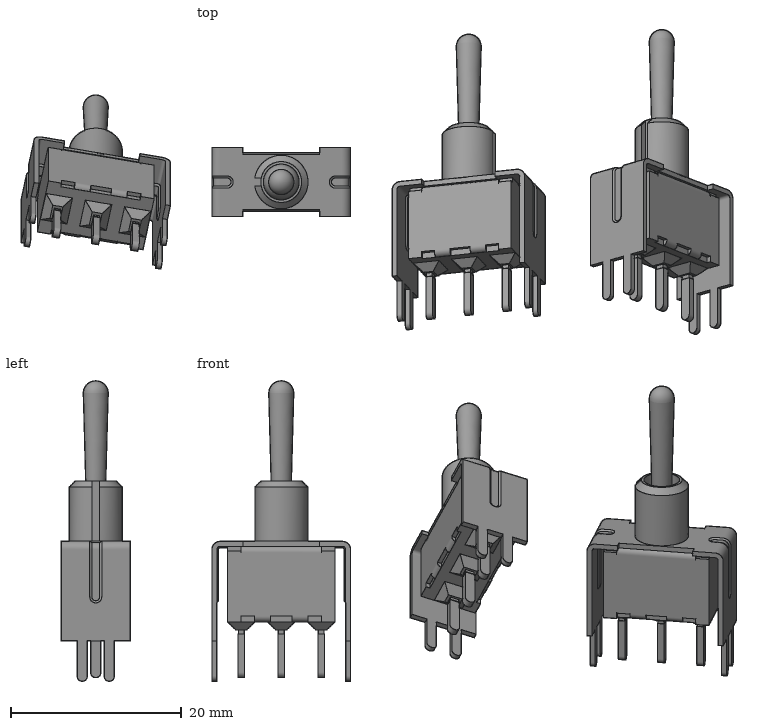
import cadquery as cq
import math

BRACKET_LENGTH = 16.25
BRACKET_WIDTH = 8.12
BRACKET_TOP = 16.4
SHEET = 0.6
BEND_RADIUS = 1.0
SIDE_PLATE_BOTTOM = 4.75
LEG_OFFSET = 1.6
PIN_WIDTH = 1.2
RELIEF_LENGTH = 8.97
RELIEF_HALF_GAP = 3.25

BEAD_WIDTH = 1.4
BEAD_FLOOR_WIDTH = 0.9
BEAD_DEPTH = 0.18
BEAD_BACK_WIDTH = 1.65
BEAD_TOP_REACH = 2.5
BEAD_BOTTOM = 9.18

HOUSING_LENGTH = 12.6
HOUSING_BOTTOM = 6.93
HOUSING_TOP = BRACKET_TOP - SHEET
COVER_WIDTH = 6.9
COVER_SHEET = 0.5
COVER_TOP = 15.25
TOP_TAB_LENGTH = 9.43
TOP_TAB_RADIUS = 0.75
NOTCH_HEIGHT = 0.7
BOTTOM_TAB_LENGTH = 1.9
BOTTOM_TAB_OFFSET = 2.18
BOTTOM_TAB_RADIUS = 0.65

TERMINAL_PITCH = 4.68
TERMINAL_THICKNESS = 0.8
TERMINAL_TIP = 0.42
NECK_THICKNESS = 0.7
NECK_WIDTH = 1.05
NECK_BOTTOM = 5.52
COLLAR_BOTTOM = 5.98
COLLAR_TOP_LENGTH = 3.15
COLLAR_BOTTOM_LENGTH = 1.2
COLLAR_TOP_WIDTH = 3.5
COLLAR_BOTTOM_WIDTH = 1.75

BUSHING_RADIUS = 3.13
BUSHING_TOP = 23.45
BUSHING_CHAMFER = 0.75
BORE_DIAMETER = 4.2
BORE_RADIUS = BORE_DIAMETER / 2
KEYWAY_WIDTH = 0.9
KEYWAY_FLOOR = 2.4
LEVER_TOP = 35.17
LEVER_TIP_RADIUS = 1.48
LEVER_RADIUS_AT_BUSHING = 1.2


def box(x_min, x_max, y_min, y_max, z_min, z_max):
    """Axis-aligned block given by its limits."""
    block = cq.Workplane("XY").box(x_max - x_min, y_max - y_min, z_max - z_min, centered=False)
    return block.translate((x_min, y_min, z_min))


def centered_box(length, width, z_min, z_max):
    """Block centred on the Z axis between two heights."""
    return box(-length / 2, length / 2, -width / 2, width / 2, z_min, z_max)


def round_tipped_pin(x_center, y_center, thickness, tip, top):
    """Flat pin, thin along X, whose lower end is a full half round."""
    radius = PIN_WIDTH / 2
    return (
        cq.Workplane("YZ")
        .moveTo(y_center - radius, top)
        .lineTo(y_center - radius, tip + radius)
        .threePointArc((y_center, tip), (y_center + radius, tip + radius))
        .lineTo(y_center + radius, top)
        .close()
        .extrude(thickness / 2, both=True)
        .translate((x_center, 0, 0))
    )


def mirrored_in_x(shape):
    return shape.union(shape.mirror("YZ"))


def bead_bar(outer_width, inner_width, depth, inset):
    """Trapezoid bead with conical ends, bent around the -X corner of the bracket.

    The wide face lies `inset` below the outer skin and the bead is `depth` deep.
    """
    half_outer = outer_width / 2
    half_inner = inner_width / 2
    skin_x = -BRACKET_LENGTH / 2 + inset
    skin_z = BRACKET_TOP - inset
    bend_x = -BRACKET_LENGTH / 2 + BEND_RADIUS
    bend_z = BRACKET_TOP - BEND_RADIUS
    top_end_x = -BRACKET_LENGTH / 2 + BEAD_TOP_REACH - half_outer
    side_end_z = BEAD_BOTTOM + half_outer

    section = [
        (-half_outer, skin_z),
        (half_outer, skin_z),
        (half_inner, skin_z - depth),
        (-half_inner, skin_z - depth),
    ]
    top_run = (
        cq.Workplane("YZ").polyline(section).close()
        .extrude(top_end_x - bend_x).translate((bend_x, 0, 0))
    )
    corner = (
        cq.Workplane("YZ").polyline(section).close()
        .revolve(90, (0, bend_z), (-1, bend_z))
        .translate((bend_x, 0, 0))
    )
    side_section = [(skin_x + skin_z - z, y) for y, z in section]
    side_run = (
        cq.Workplane("XY").workplane(offset=side_end_z).polyline(side_section).close()
        .extrude(bend_z - side_end_z)
    )
    top_center = cq.Vector(top_end_x, 0, skin_z)
    side_center = cq.Vector(skin_x, 0, side_end_z)
    top_end = cq.Solid.makeCone(half_outer, half_inner, depth, top_center, cq.Vector(0, 0, -1))
    side_end = cq.Solid.makeCone(half_outer, half_inner, depth, side_center, cq.Vector(1, 0, 0))
    return top_run.union(corner).union(side_run).union(cq.Workplane(top_end)).union(cq.Workplane(side_end))


def make_bracket():
    outer = centered_box(BRACKET_LENGTH, BRACKET_WIDTH, SIDE_PLATE_BOTTOM, BRACKET_TOP)
    outer = outer.edges("|Y and >Z").fillet(BEND_RADIUS)
    inner = centered_box(BRACKET_LENGTH - 2 * SHEET, BRACKET_WIDTH, SIDE_PLATE_BOTTOM, HOUSING_TOP)
    inner = inner.edges("|Y and >Z").fillet(BEND_RADIUS - SHEET)
    bracket = outer.cut(inner)

    for side in (-1, 1):
        y_limits = sorted((side * RELIEF_HALF_GAP, side * BRACKET_WIDTH / 2))
        relief = box(-RELIEF_LENGTH / 2, RELIEF_LENGTH / 2, *y_limits, HOUSING_TOP, BRACKET_TOP)
        bracket = bracket.cut(relief)

    leg_x = (BRACKET_LENGTH - SHEET) / 2
    for x in (-leg_x, leg_x):
        for y in (-LEG_OFFSET, LEG_OFFSET):
            bracket = bracket.union(round_tipped_pin(x, y, SHEET, 0, SIDE_PLATE_BOTTOM))

    back_inner_width = BEAD_BACK_WIDTH - BEAD_WIDTH + BEAD_FLOOR_WIDTH
    back = bead_bar(BEAD_BACK_WIDTH, back_inner_width, BEAD_DEPTH, SHEET)
    groove = bead_bar(BEAD_WIDTH, BEAD_FLOOR_WIDTH, BEAD_DEPTH, 0)
    return bracket.union(mirrored_in_x(back)).cut(mirrored_in_x(groove))


def make_housing():
    block_width = COVER_WIDTH - 2 * COVER_SHEET
    notch_top = HOUSING_BOTTOM + NOTCH_HEIGHT
    block = centered_box(HOUSING_LENGTH, block_width, HOUSING_BOTTOM, HOUSING_TOP)

    cover = centered_box(HOUSING_LENGTH, COVER_WIDTH, HOUSING_BOTTOM, COVER_TOP)
    cover = cover.cut(centered_box(TOP_TAB_LENGTH, COVER_WIDTH, HOUSING_BOTTOM, notch_top))
    cover = cover.cut(centered_box(TOP_TAB_LENGTH, COVER_WIDTH, HOUSING_TOP - TOP_TAB_RADIUS, COVER_TOP))
    block = block.cut(centered_box(TOP_TAB_LENGTH, block_width, HOUSING_TOP - TOP_TAB_RADIUS, HOUSING_TOP))
    top_tab = centered_box(TOP_TAB_LENGTH, COVER_WIDTH, notch_top, HOUSING_TOP)
    top_tab = top_tab.edges("|X and >Z").fillet(TOP_TAB_RADIUS)
    housing = block.union(cover).union(top_tab)

    bottom_tab = centered_box(BOTTOM_TAB_LENGTH, COVER_WIDTH, HOUSING_BOTTOM, notch_top)
    bottom_tab = bottom_tab.edges("|X and <Z").fillet(BOTTOM_TAB_RADIUS)
    for x in (-BOTTOM_TAB_OFFSET, BOTTOM_TAB_OFFSET):
        housing = housing.union(bottom_tab.translate((x, 0, 0)))
    return housing


def make_terminal(x):
    """Blade with a necked root, sealed by a tapered collar under the housing."""
    blade = round_tipped_pin(x, 0, TERMINAL_THICKNESS, TERMINAL_TIP, NECK_BOTTOM)
    neck = centered_box(NECK_THICKNESS, NECK_WIDTH, NECK_BOTTOM, HOUSING_BOTTOM).translate((x, 0, 0))
    collar = (
        cq.Workplane("XY").workplane(offset=COLLAR_BOTTOM)
        .rect(COLLAR_BOTTOM_LENGTH, COLLAR_BOTTOM_WIDTH)
        .workplane(offset=HOUSING_BOTTOM - COLLAR_BOTTOM)
        .rect(COLLAR_TOP_LENGTH, COLLAR_TOP_WIDTH)
        .loft(ruled=True)
        .translate((x, 0, 0))
    )
    return blade.union(neck).union(collar)


def make_toggle():
    """Bushing, pivot ball and lever, turned as one profile about Z."""
    tip_center = LEVER_TOP - LEVER_TIP_RADIUS
    taper = (LEVER_TIP_RADIUS - LEVER_RADIUS_AT_BUSHING) / (tip_center - BUSHING_TOP)
    lever_base_radius = LEVER_TIP_RADIUS - taper * (tip_center - BRACKET_TOP - BORE_RADIUS)
    base_angle = math.acos(lever_base_radius / BORE_RADIUS)
    tip_diagonal = LEVER_TIP_RADIUS * math.sqrt(0.5)

    def on_ball(angle):
        return BORE_RADIUS * math.cos(angle), BRACKET_TOP + BORE_RADIUS * math.sin(angle)

    toggle = (
        cq.Workplane("XZ")
        .moveTo(0, HOUSING_TOP)
        .lineTo(BUSHING_RADIUS, HOUSING_TOP)
        .lineTo(BUSHING_RADIUS, BUSHING_TOP - BUSHING_CHAMFER)
        .lineTo(BUSHING_RADIUS - BUSHING_CHAMFER, BUSHING_TOP)
        .lineTo(BORE_RADIUS, BUSHING_TOP)
        .lineTo(*on_ball(0))
        .threePointArc(on_ball(base_angle / 2), on_ball(base_angle))
        .lineTo(LEVER_TIP_RADIUS, tip_center)
        .threePointArc((tip_diagonal, tip_center + tip_diagonal), (0, LEVER_TOP))
        .close()
        .revolve(360, (0, 0), (0, 1))
    )
    keyway = box(
        -BUSHING_RADIUS, -KEYWAY_FLOOR, -KEYWAY_WIDTH / 2, KEYWAY_WIDTH / 2, BRACKET_TOP, BUSHING_TOP
    )
    return toggle.cut(keyway)


result = make_bracket().union(make_housing()).union(make_toggle())
for terminal_x in (-TERMINAL_PITCH, 0, TERMINAL_PITCH):
    result = result.union(make_terminal(terminal_x))